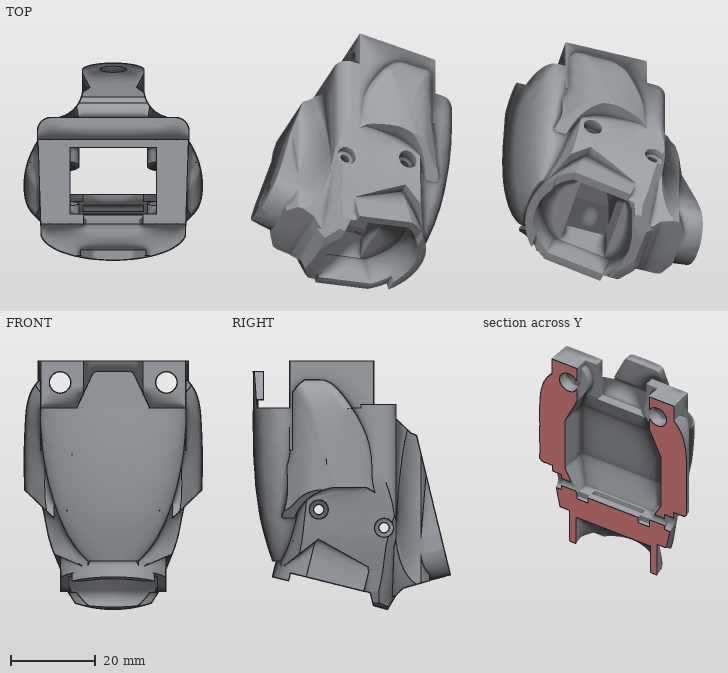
import cadquery as cq
import math

REACH = 60.0

HEIGHT = 58.67
FRONT_LEDGE_Z = 47.6
REAR_LEDGE_Z = 48.4
TAB_TOP_Z = 56.2
SHIELD_BOTTOM_Z = 11.45

BLOCK_BOTTOM_Z = 37.6
BLOCK_DEPTH = 19.9
BLOCK_REAR_HALF = 17.75
BLOCK_FRONT_HALF = 17.1

BODY_HALF = 17.9
BODY_FRONT_Y = -2.0
BODY_REAR_Y = 25.15
BODY_CORNER_RADIUS = 3.2
REAR_CUT_SETBACK = (17.0, 13.5)
REAR_CUT_TOP_Z = 28.0
REAR_CUT_MARGIN = 1.0
BODY_FRONT_HALF = 17.0
BODY_NOSE_HALF = 6.0
BODY_NOSE_LENGTH = 6.0
LEDGE_STEP_Y = 16.9

SHIELD_FRONT_Y = -8.57
SHIELD_EMBED = 4.0
TAB_ROOT_HALF = 8.6
TAB_TOP_HALF = 4.6
TAB_REAR_Y = -6.1
TAB_CORNER_RADIUS = 1.3
UNDERCUT_TOP_Z = 49.5
UNDERCUT_WALL = 1.1

CHEEK_HALF = 21.06
CHEEK_ROOT_HALF = 14.0
CHEEK_EDGE_RADIUS = 2.0

COLLAR_TILT = math.radians(14)
COLLAR_ORIGIN = (0, 1.8, 8.2)
COLLAR_HALF = 12.4
COLLAR_LENGTH = 16.2
COLLAR_FLAT_START = 2.2
COLLAR_NOSE = 5.6
COLLAR_HEIGHT = 9.5
COLLAR_WALL = 1.95
LIP_DROP = 1.9
LIP_START = 1.6
MOUTH_REAR_BOW = 4.2
MOUTH_DEPTH = 7.5

TAIL_REAR_Y = 37.97
TAIL_HALF = 7.3
TAIL_TOP_HALF = 4.4
TAIL_BELOW_HOLE = 6.3
TAIL_TAPER_START = 4.0
TAIL_TAPER_END = 27.0
TAIL_TOP = 30.0
TAIL_LENGTH = 14.0
TAIL_ROOT_Y = BODY_REAR_Y - 3
FLARE_ROOT_HALF = 12.8
FLARE_END_Y = 31.0
FLARE_TIP_Y = 33.0
FLARE_INSET = 4.0
TAIL_FACE_TOP = (30.0, 41.1)
TAIL_FACE_BOTTOM = (TAIL_REAR_Y, 8.2)
TAIL_HOLE_DIAMETER = 6.2
TAIL_HOLE_Z = 14.2
TAIL_HOLE_DEPTH = 12.0

CAVITY_HALF = 10.15
CAVITY_FRONT_Y = 2.4
CAVITY_REAR_Y = 18.0
NOTCH_HALF = 7.0
BELLY_HALF = 13.5
BELLY_FRONT_Y = -1.0
BELLY_REAR_Y = 20.0
BELLY_LEVELS = (49.0, 42.0, 28.0)
SHELF_TOP_Z = 22.0
SHELF_REAR_Y = 7.0
SHELF_STEP_Y = 5.3
SHELF_STEP_DEPTH = 1.5
SHELF_CENTRE_HALF = 7.15
SHELF_GROOVE_Y = 3.7
SHELF_GROOVE_RADIUS = 0.75

MOUNT_X = 12.55
MOUNT_Z = 53.6
MOUNT_DIAMETER = 5.0
GUARD_RADIUS = 4.5
GUARD_REAR_END = (14.9, 12.4)
GUARD_FRONT_END = (4.2, 5.4)

CROSS_HOLES = ((22.3, 19.3), (6.9, 23.6))
CROSS_DIAMETER = 2.4
CROSS_RECESS_DIAMETER = 4.5
CROSS_RECESS_X = 14.6


def along_y(outline):
    """Extrude an outline drawn in X, Z through the whole depth."""
    return outline.close().extrude(REACH, both=True)


def along_x(outline):
    """Extrude an outline drawn in Y, Z to both sides of X = 0."""
    return outline.close().extrude(REACH, both=True)


def box(x0, x1, y0, y1, z0, z1):
    return cq.Workplane("XY").box(x1 - x0, y1 - y0, z1 - z0, centered=False).translate((x0, y0, z0))


def mirrored(half_outline):
    """Complete a list of points at positive X with their mirror images."""
    return half_outline + [(-x, z) for x, z in reversed(half_outline)]


def make_block():
    plan = [(BLOCK_FRONT_HALF, 0), (BLOCK_REAR_HALF, BLOCK_DEPTH)]
    block = cq.Workplane("XY").polyline(mirrored(plan)).close().extrude(HEIGHT)
    return block.intersect(box(-REACH, REACH, -REACH, REACH, BLOCK_BOTTOM_Z, HEIGHT))


def corner_wire(setback_x, setback_y, z):
    """Triangle across the rear corner of the body at positive X."""
    x = BODY_HALF + REAR_CUT_MARGIN
    y = BODY_REAR_Y + REAR_CUT_MARGIN
    points = [(x, y), (x - setback_x, y), (x, y - setback_y)]
    return cq.Workplane("XY", origin=(0, 0, z)).polyline(points).close().val()


def make_rear_corner_cut():
    """Wedge that narrows the rear corner more and more towards the bottom."""
    lower = corner_wire(*REAR_CUT_SETBACK, 0)
    upper = corner_wire(REAR_CUT_MARGIN, REAR_CUT_MARGIN, REAR_CUT_TOP_Z)
    return cq.Workplane(cq.Solid.makeLoft([lower, upper], True))


def make_body():
    """Side walls and back: the common part of a plan, a front and a side outline."""
    plan = [
        (BODY_NOSE_HALF, BODY_FRONT_Y),
        (BODY_FRONT_HALF, BODY_FRONT_Y + BODY_NOSE_LENGTH),
        (BODY_HALF, BLOCK_DEPTH),
        (BODY_HALF, BODY_REAR_Y),
    ]
    plan_prism = cq.Workplane("XY").polyline(mirrored(plan)).close().extrude(HEIGHT)
    plan_prism = plan_prism.edges("|Z and >Y").fillet(BODY_CORNER_RADIUS)

    front = (
        cq.Workplane("XZ")
        .moveTo(BODY_HALF, REAR_LEDGE_Z)
        .lineTo(BODY_HALF, 32)
        .spline([(16.4, 22.9), (14.9, 15.8), (12.3, 9.2)], tangents=[(0, -1), (-0.4, -1)],
                includeCurrent=True)
        .lineTo(10.7, 4.2)
        .lineTo(9.0, 1.5)
        .threePointArc((0, 0), (-9.0, 1.5))
        .lineTo(-10.7, 4.2)
        .lineTo(-12.3, 9.2)
        .spline([(-14.9, 15.8), (-16.4, 22.9), (-BODY_HALF, 32)], tangents=[(-0.4, 1), (0, 1)],
                includeCurrent=True)
        .lineTo(-BODY_HALF, REAR_LEDGE_Z)
    )
    side = (
        cq.Workplane("YZ")
        .moveTo(BODY_REAR_Y, REAR_LEDGE_Z)
        .lineTo(BODY_REAR_Y, 3.4)
        .lineTo(23.1, 0)
        .lineTo(19.8, 0.9)
        .lineTo(19.0, 4)
        .lineTo(17.5, 4.3)
        .lineTo(18.6, 10.0)
        .lineTo(6.8, 16.6)
        .lineTo(-2.5, 9.3)
        .lineTo(-2.5, FRONT_LEDGE_Z)
        .lineTo(LEDGE_STEP_Y, FRONT_LEDGE_Z)
        .lineTo(LEDGE_STEP_Y, REAR_LEDGE_Z)
    )
    body = plan_prism.intersect(along_y(front)).intersect(along_x(side))
    corner = make_rear_corner_cut()
    return body.cut(corner).cut(corner.mirror("YZ"))


def make_shield():
    """Front shell of half-ellipse sections that narrow downwards, with the tab on top."""
    sections = (
        (TAB_TOP_Z, 17.1, SHIELD_FRONT_Y),
        (FRONT_LEDGE_Z, 17.1, SHIELD_FRONT_Y),
        (36.4, 16.5, SHIELD_FRONT_Y + 0.1),
        (29.3, 15.1, -8.0),
        (22.2, 12.9, -7.0),
        (15.7, 9.6, -5.4),
        (SHIELD_BOTTOM_Z, 6.0, -4.0),
    )
    wires = []
    for z, half, front_y in sections:
        section = (
            cq.Workplane("XY", origin=(0, BODY_FRONT_Y, z))
            .ellipseArc(half, BODY_FRONT_Y - front_y, 180, 360, startAtCurrent=False)
            .lineTo(half, SHIELD_EMBED)
            .lineTo(-half, SHIELD_EMBED)
            .close()
        )
        wires.append(section.val())
    shell = cq.Workplane(cq.Solid.makeLoft(wires))

    tab = along_y(
        cq.Workplane("XZ").polyline(
            mirrored([(TAB_ROOT_HALF, FRONT_LEDGE_Z), (TAB_TOP_HALF, TAB_TOP_Z)])
        )
    )
    tab = tab.edges("|Y and >Z").fillet(TAB_CORNER_RADIUS)
    tab = tab.intersect(box(-REACH, REACH, -REACH, TAB_REAR_Y, FRONT_LEDGE_Z, TAB_TOP_Z))
    undercut_front = SHIELD_FRONT_Y + UNDERCUT_WALL
    tab = tab.cut(box(-REACH, REACH, undercut_front, 0, FRONT_LEDGE_Z, UNDERCUT_TOP_Z))
    lower = box(-REACH, REACH, -REACH, REACH, 0, FRONT_LEDGE_Z)
    return shell.intersect(lower.union(tab))


def make_cheeks():
    """Bulges on both sides, open at the bottom along a slanted arched edge."""
    side = (
        cq.Workplane("YZ")
        .moveTo(20.8, 27.2)
        .spline([(19.3, 38.0), (14.8, 47.5), (5.4, 55.0), (0.4, 50.8), (-1.0, 37.0), (-1.9, 22.0)],
                includeCurrent=True)
        .lineTo(0.6, 20.0)
        .threePointArc((4.6, 26.3), (10.4, 28.8))
        .lineTo(18.2, 28.8)
    )
    front = (
        cq.Workplane("XZ")
        .moveTo(CHEEK_ROOT_HALF, 21.6)
        .lineTo(20.9, 28.2)
        .spline([(CHEEK_HALF, 33.6), (20.8, 43.6), (19.7, 50.7), (17.4, 54.2)], includeCurrent=True)
        .lineTo(CHEEK_ROOT_HALF, 56.0)
    )
    plan = (
        cq.Workplane("XY")
        .moveTo(CHEEK_ROOT_HALF, 20.8)
        .lineTo(17.0, 20.8)
        .spline([(20.2, 14.6), (CHEEK_HALF, 9.6), (19.3, 2.8), (16.5, 0.0), (15.5, -2.0)],
                includeCurrent=True)
        .lineTo(CHEEK_ROOT_HALF, -2.0)
        .close()
        .extrude(HEIGHT)
    )
    cheek = plan.intersect(along_x(side)).intersect(along_y(front))
    upper_edges = cq.selectors.BoxSelector((18, -3, 30), (REACH, 21, HEIGHT))
    cheek = cheek.edges(upper_edges).fillet(CHEEK_EDGE_RADIUS)
    cheek = cheek.cut(box(0, REACH, -REACH, 0, FRONT_LEDGE_Z, HEIGHT))
    return cheek.union(cheek.mirror("YZ"))


def collar_plane(rise=0.0):
    """Plane along the collar's lower rim; local Y runs to the back, its normal up the collar."""
    up = cq.Vector(0, math.sin(COLLAR_TILT), math.cos(COLLAR_TILT))
    origin = cq.Vector(*COLLAR_ORIGIN) + up * rise
    return cq.Plane(origin=origin.toTuple(), xDir=(1, 0, 0), normal=up.toTuple())


def collar_outline(rise, wall, rear_bow):
    half = COLLAR_HALF - wall
    outline = (
        cq.Workplane(collar_plane(rise))
        .moveTo(half, COLLAR_LENGTH)
        .lineTo(half, COLLAR_FLAT_START)
        .threePointArc((0, wall - COLLAR_NOSE), (-half, COLLAR_FLAT_START))
        .lineTo(-half, COLLAR_LENGTH)
    )
    if rear_bow:
        outline = outline.threePointArc((0, COLLAR_LENGTH + rear_bow), (half, COLLAR_LENGTH))
    return outline.close()


def make_collar():
    collar = collar_outline(-LIP_DROP, 0, 0).extrude(COLLAR_HEIGHT + LIP_DROP)
    rear_drop = (
        cq.Workplane(collar_plane(-LIP_DROP))
        .rect(2 * REACH, 2 * (COLLAR_LENGTH + LIP_START))
        .extrude(LIP_DROP)
        .translate((0, COLLAR_LENGTH * math.cos(COLLAR_TILT), -COLLAR_LENGTH * math.sin(COLLAR_TILT)))
    )
    return collar.cut(rear_drop)


def make_mouth():
    return collar_outline(-REACH, COLLAR_WALL, MOUTH_REAR_BOW).extrude(REACH + MOUTH_DEPTH)


def tail_plane():
    """Plane of the sloping face, centred on the hole; local Y runs up the face, its normal outwards."""
    (y0, z0), (y1, z1) = TAIL_FACE_TOP, TAIL_FACE_BOTTOM
    y = y0 + (y1 - y0) * (TAIL_HOLE_Z - z0) / (z1 - z0)
    return cq.Plane(origin=(0, y, TAIL_HOLE_Z), xDir=(-1, 0, 0), normal=(0, z0 - z1, y1 - y0))


def make_tail():
    """Post with a sloping back face, flared into the back of the body."""
    side = cq.Workplane("YZ").polyline([
        (TAIL_ROOT_Y, 46.5), (BODY_REAR_Y, 45.0), (28.6, 41.7), TAIL_FACE_TOP, TAIL_FACE_BOTTOM,
        (26.8, 5.0), (BODY_REAR_Y, 3.4), (TAIL_ROOT_Y, 2.0),
    ])
    neck = (
        cq.Workplane(tail_plane())
        .moveTo(-TAIL_HALF, 0)
        .threePointArc((0, -TAIL_BELOW_HOLE), (TAIL_HALF, 0))
        .lineTo(TAIL_HALF, TAIL_TAPER_START)
        .lineTo(TAIL_TOP_HALF, TAIL_TAPER_END)
        .lineTo(TAIL_TOP_HALF, TAIL_TOP)
        .lineTo(-TAIL_TOP_HALF, TAIL_TOP)
        .lineTo(-TAIL_TOP_HALF, TAIL_TAPER_END)
        .lineTo(-TAIL_HALF, TAIL_TAPER_START)
        .close()
        .extrude(-TAIL_LENGTH)
    )
    flare = (
        cq.Workplane("XY")
        .moveTo(TAIL_TOP_HALF, FLARE_TIP_Y)
        .lineTo(TAIL_HALF, FLARE_END_Y)
        .threePointArc((8.9, 27.5), (FLARE_ROOT_HALF, BODY_REAR_Y))
        .lineTo(FLARE_ROOT_HALF - FLARE_INSET, TAIL_ROOT_Y)
        .lineTo(FLARE_INSET - FLARE_ROOT_HALF, TAIL_ROOT_Y)
        .lineTo(-FLARE_ROOT_HALF, BODY_REAR_Y)
        .threePointArc((-8.9, 27.5), (-TAIL_HALF, FLARE_END_Y))
        .lineTo(-TAIL_TOP_HALF, FLARE_TIP_Y)
        .close()
        .extrude(HEIGHT)
    )
    flare_points = [(5.5, 2), (FLARE_ROOT_HALF, 16), (FLARE_ROOT_HALF, 20), (8.0, 46.0)]
    flare_front = along_y(cq.Workplane("XZ").polyline(mirrored(flare_points)))
    post = neck.union(flare.intersect(flare_front))
    return post.intersect(along_x(side))


def make_tail_hole():
    return cq.Workplane(tail_plane()).circle(TAIL_HOLE_DIAMETER / 2).extrude(-TAIL_HOLE_DEPTH)


def rectangle_wire(half, front_y, rear_y, z):
    return cq.Workplane("XY", origin=(0, (front_y + rear_y) / 2, z)).rect(2 * half, rear_y - front_y).val()


def make_cavity():
    """Straight shaft, a wider belly below the block, and a stepped shelf at the front."""
    shaft = box(-CAVITY_HALF, CAVITY_HALF, CAVITY_FRONT_Y, CAVITY_REAR_Y, SHELF_TOP_Z, HEIGHT)
    lower_shaft = box(-CAVITY_HALF, CAVITY_HALF, SHELF_REAR_Y, CAVITY_REAR_Y, 0, SHELF_TOP_Z)
    opening_z, belly_top_z, belly_bottom_z = BELLY_LEVELS
    belly = cq.Solid.makeLoft(
        [
            rectangle_wire(CAVITY_HALF, CAVITY_FRONT_Y, CAVITY_REAR_Y, opening_z),
            rectangle_wire(BELLY_HALF, BELLY_FRONT_Y, BELLY_REAR_Y, belly_top_z),
            rectangle_wire(BELLY_HALF, BELLY_FRONT_Y, BELLY_REAR_Y, belly_bottom_z),
            rectangle_wire(CAVITY_HALF, CAVITY_FRONT_Y, CAVITY_REAR_Y, SHELF_TOP_Z),
        ],
        True,
    )
    cavity = shaft.union(lower_shaft).union(cq.Workplane(belly))

    step_z = SHELF_TOP_Z - SHELF_STEP_DEPTH
    for side in (-1, 1):
        x0, x1 = sorted((side * SHELF_CENTRE_HALF, side * CAVITY_HALF))
        cavity = cavity.union(box(x0, x1, SHELF_STEP_Y, SHELF_REAR_Y, step_z, SHELF_TOP_Z))
    groove = (
        cq.Workplane("YZ")
        .center(SHELF_GROOVE_Y, SHELF_TOP_Z)
        .circle(SHELF_GROOVE_RADIUS)
        .extrude(SHELF_CENTRE_HALF, both=True)
    )
    notch = box(-NOTCH_HALF, NOTCH_HALF, 0, CAVITY_FRONT_Y, REAR_LEDGE_Z, HEIGHT)
    return cavity.union(groove).union(notch)


def make_guards():
    """Sleeves around the mounting holes, standing into the cavity with sloping ends."""
    top_z = MOUNT_Z + GUARD_RADIUS
    bottom_z = MOUNT_Z - GUARD_RADIUS
    blocks = []
    for wall_y, (end_top, end_bottom) in (
        (CAVITY_REAR_Y, GUARD_REAR_END),
        (CAVITY_FRONT_Y, GUARD_FRONT_END),
    ):
        points = [(wall_y, top_z), (end_top, top_z), (end_bottom, bottom_z), (wall_y, bottom_z)]
        blocks.append(along_x(cq.Workplane("YZ").polyline(points)))
    sleeves = (
        cq.Workplane("XZ")
        .pushPoints([(MOUNT_X, MOUNT_Z), (-MOUNT_X, MOUNT_Z)])
        .circle(GUARD_RADIUS)
        .extrude(-BLOCK_DEPTH)
    )
    return sleeves.intersect(blocks[0].union(blocks[1]))


def make_mount_holes():
    holes = cq.Workplane("XZ").pushPoints([(MOUNT_X, MOUNT_Z), (-MOUNT_X, MOUNT_Z)])
    return holes.circle(MOUNT_DIAMETER / 2).extrude(-BLOCK_DEPTH)


def make_cross_holes():
    spots = cq.Workplane("YZ").pushPoints(CROSS_HOLES)
    holes = spots.circle(CROSS_DIAMETER / 2).extrude(REACH, both=True)
    recess = (
        cq.Workplane("YZ", origin=(CROSS_RECESS_X, 0, 0))
        .pushPoints(CROSS_HOLES)
        .circle(CROSS_RECESS_DIAMETER / 2)
        .extrude(BODY_HALF - CROSS_RECESS_X)
    )
    return holes.union(recess).union(recess.mirror("YZ"))


outer = make_block().union(make_body()).union(make_shield()).union(make_cheeks())
outer = outer.union(make_collar()).union(make_tail())
hollow = outer.cut(make_cavity()).cut(make_mouth()).union(make_guards())
result = hollow.cut(make_mount_holes()).cut(make_cross_holes()).cut(make_tail_hole())